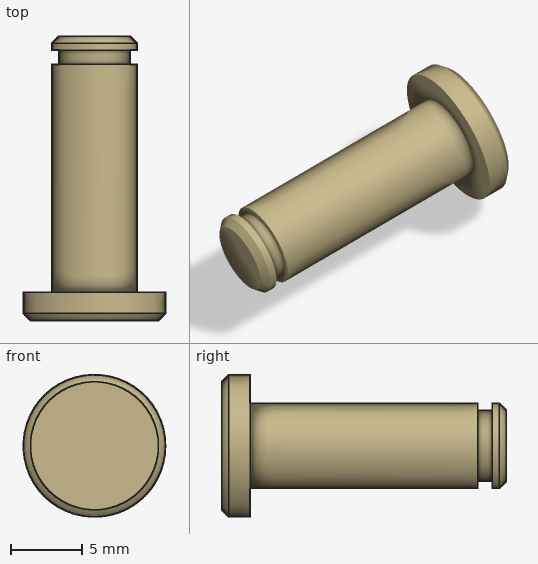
import cadquery as cq

total_length = 20.0
head_diameter = 10.0
head_thickness = 2.0
shank_diameter = 6.0
groove_diameter = 5.0
groove_width = 1.0
end_collar_length = 1.0
chamfer = 0.5

groove_end = total_length - end_collar_length
groove_start = groove_end - groove_width


def cylinder(diameter, start, end):
    """Solid cylinder on the Y axis between two Y positions."""
    base = cq.Workplane("XZ", origin=(0, start, 0))
    return base.circle(diameter / 2).extrude(start - end)


head = cylinder(head_diameter, 0, head_thickness).faces("<Y").chamfer(chamfer)

shank = cylinder(shank_diameter, head_thickness, total_length).faces(">Y").chamfer(chamfer)

groove_ring = cylinder(shank_diameter, groove_start, groove_end).cut(
    cylinder(groove_diameter, groove_start, groove_end)
)

result = head.union(shank).cut(groove_ring)